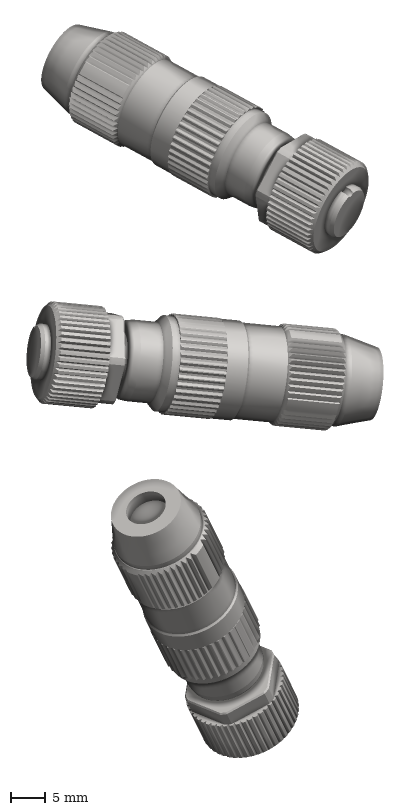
import cadquery as cq
import math

TOTAL_LENGTH = 51.5

KNURL_DIAMETER = 15.0

NOSE_TIP_RADIUS = 5.35
NOSE_RADIUS = 6.75
NOSE_CONE_END = 5.15
CABLE_BORE_RADIUS = 3.05
CABLE_BORE_DEPTH = 2.1
CABLE_NUT_START = 6.0
CABLE_NUT_END = 15.0
CABLE_NUT_RADIUS = KNURL_DIAMETER / 2
CABLE_NUT_CHAMFER = 0.6

SHELL_RADIUS = 7.05
COLLAR_START = 20.8
COLLAR_RADIUS = 7.3
GRIP_START = 24.2
GRIP_END = 31.25
GRIP_RADIUS = 7.4
SHOULDER_END = 32.45
BARREL_START = 33.55
BARREL_RADIUS = 5.95
BARREL_TAPER_START = 37.0
BARREL_TAPER_END = 37.95
BARREL_TIP_RADIUS = 5.8
BARREL_END = 38.45
BARREL_ROUNDING = 0.5
NECK_RADIUS = 4.2

HEX_START = 39.45
HEX_WIDTH = 13.0
HEX_CORNER_RADIUS = 7.2
HEX_CORNER_ANGLE = 37.5
HEX_CHAMFER = 0.2
COUPLING_START = 41.95
COUPLING_END = 50.05
COUPLING_RADIUS = KNURL_DIAMETER / 2
COUPLING_CHAMFER = 0.6

INSERT_RADIUS = 4.1
INSERT_TIP_RADIUS = 3.8
INSERT_TAPER_LENGTH = 0.55
KEYWAY_RADIUS = 0.6
KEYWAY_ANGLE = 82.5

CABLE_NUT_GROOVES = 48
CABLE_NUT_WALL_SLOPE = 48.0
CABLE_NUT_PULL_ANGLE = 35.0
GRIP_GROOVES = 40
GRIP_GROOVE_SPAN = 7.8
GRIP_WALL_SLOPE = 40.0
GRIP_PULL_ANGLE = 127.5
GRIP_GROOVE_DEPTH = 0.3
COUPLING_GROOVES = 48
COUPLING_GROOVE_SPAN = 3.9
COUPLING_GROOVE_DEPTH = 0.4

QUARTER_TURN = 90.0
FULL_TURN = 360.0
COINCIDENT = 0.005


def polar(radius, angle):
    """Point of the YZ plane at a radius and an angle in degrees."""
    turn = math.radians(angle)
    return (radius * math.cos(turn), radius * math.sin(turn))


def groove_angles(count, start):
    """Evenly spaced groove centres, the first one half a pitch after the start angle."""
    pitch = FULL_TURN / count
    return [start + (i + 0.5) * pitch for i in range(count)]


def moulded_wall_angle(wall_angle, groove_angle, pull_angle):
    """Turn a wall's normal so that the wall does not undercut the mould half it lies in."""
    half_turn = FULL_TURN / 2
    pull = pull_angle + half_turn * round((groove_angle - pull_angle) / half_turn)
    return max(pull - QUARTER_TURN, min(pull + QUARTER_TURN, wall_angle))


def wall_crossing(start, start_normal, end, end_normal):
    """Point where the wall through start meets the wall through end."""
    ax, ay = polar(1.0, start_normal)
    bx, by = polar(1.0, end_normal)
    a = ax * start[0] + ay * start[1]
    b = bx * end[0] + by * end[1]
    determinant = ax * by - ay * bx
    return ((a * by - b * ay) / determinant, (ax * b - bx * a) / determinant)


def moulded_groove(radius, angle, span, slope, pull_angle, depth=None):
    """Groove outline from edge to edge; a depth cuts the V off with a flat floor."""
    start = polar(radius, angle - span / 2)
    end = polar(radius, angle + span / 2)
    start_normal = moulded_wall_angle(angle + slope, angle, pull_angle)
    end_normal = moulded_wall_angle(angle - slope, angle, pull_angle)
    root = wall_crossing(start, start_normal, end, end_normal)
    floor = [root]
    if depth is not None:
        floor_point = polar(radius - depth, angle)
        out_y, out_z = polar(1.0, angle)
        if root[0] * out_y + root[1] * out_z < radius - depth:
            floor = [
                wall_crossing(start, start_normal, floor_point, angle),
                wall_crossing(floor_point, angle, end, end_normal),
            ]
    return [start] + floor + [end]


def v_groove(radius, angle, span, depth):
    """Outline of a plain V groove from edge to edge."""
    return [
        polar(radius, angle - span / 2),
        polar(radius - depth, angle),
        polar(radius, angle + span / 2),
    ]


def knurled_bar(radius, start, end, grooves):
    """Bar along X whose outline joins the grooves by arcs at the outer radius."""
    outline = cq.Workplane("YZ", origin=(start, 0, 0)).moveTo(*grooves[0][0])
    for groove, following in zip(grooves, grooves[1:] + grooves[:1]):
        for point in groove[1:]:
            outline = outline.lineTo(*point)
        last, first = groove[-1], following[0]
        if math.dist(last, first) > COINCIDENT:
            middle_angle = math.degrees(math.atan2(last[1] + first[1], last[0] + first[0]))
            outline = outline.threePointArc(polar(radius, middle_angle), first)
    return outline.close().extrude(end - start)


def turned(points):
    """Solid of revolution about X from (x, radius) points, closed along the axis."""
    profile = [(points[0][0], 0)] + points + [(points[-1][0], 0)]
    return cq.Workplane("XY").polyline(profile).close().revolve(FULL_TURN, (0, 0, 0), (1, 0, 0))


def core():
    """Smooth turned body that carries the knurled rings and the hexagon."""
    outline = (
        cq.Workplane("XY")
        .lineTo(0, NOSE_TIP_RADIUS)
        .lineTo(NOSE_CONE_END, NOSE_RADIUS)
        .lineTo(CABLE_NUT_END, NOSE_RADIUS)
        .lineTo(CABLE_NUT_END, SHELL_RADIUS)
        .lineTo(COLLAR_START, SHELL_RADIUS)
        .lineTo(COLLAR_START + COLLAR_RADIUS - SHELL_RADIUS, COLLAR_RADIUS)
        .lineTo(GRIP_START, COLLAR_RADIUS)
        .lineTo(GRIP_START, SHELL_RADIUS)
        .lineTo(SHOULDER_END, SHELL_RADIUS)
        .lineTo(BARREL_START, BARREL_RADIUS)
        .lineTo(BARREL_TAPER_START, BARREL_RADIUS)
        .lineTo(BARREL_TAPER_END, BARREL_TIP_RADIUS)
        .tangentArcPoint((BARREL_END, BARREL_TIP_RADIUS - BARREL_ROUNDING), relative=False)
        .lineTo(BARREL_END, NECK_RADIUS)
        .lineTo(HEX_START, NECK_RADIUS)
        .lineTo(HEX_START, INSERT_RADIUS)
        .lineTo(TOTAL_LENGTH - INSERT_TAPER_LENGTH, INSERT_RADIUS)
        .lineTo(TOTAL_LENGTH, INSERT_TIP_RADIUS)
        .lineTo(TOTAL_LENGTH, 0)
        .close()
    )
    return outline.revolve(FULL_TURN, (0, 0, 0), (1, 0, 0))


def cable_nut_ring():
    """Knurled ring chamfered at both ends, left smooth on four patches a quarter turn apart."""
    pitch = FULL_TURN / CABLE_NUT_GROOVES
    per_quarter = CABLE_NUT_GROOVES // 4
    grooves = [
        moulded_groove(CABLE_NUT_RADIUS, angle, pitch, CABLE_NUT_WALL_SLOPE, CABLE_NUT_PULL_ANGLE)
        for i, angle in enumerate(groove_angles(CABLE_NUT_GROOVES, CABLE_NUT_PULL_ANGLE))
        if i % per_quarter not in (0, per_quarter - 1)
    ]
    ring = knurled_bar(CABLE_NUT_RADIUS, CABLE_NUT_START, CABLE_NUT_END, grooves)
    end_radius = CABLE_NUT_RADIUS - CABLE_NUT_CHAMFER
    envelope = turned([
        (CABLE_NUT_START, end_radius),
        (CABLE_NUT_START + CABLE_NUT_CHAMFER, CABLE_NUT_RADIUS),
        (CABLE_NUT_END - CABLE_NUT_CHAMFER, CABLE_NUT_RADIUS),
        (CABLE_NUT_END, end_radius),
    ])
    return ring.intersect(envelope)


def grip_ring():
    """Finely knurled ring on the shell, with flat-floored grooves all round."""
    grooves = [
        moulded_groove(
            GRIP_RADIUS, angle, GRIP_GROOVE_SPAN, GRIP_WALL_SLOPE, GRIP_PULL_ANGLE, GRIP_GROOVE_DEPTH
        )
        for angle in groove_angles(GRIP_GROOVES, GRIP_PULL_ANGLE)
    ]
    return knurled_bar(GRIP_RADIUS, GRIP_START, GRIP_END, grooves)


def coupling_ring():
    """Knurled coupling nut with V grooves, chamfered at the mating end."""
    half_pitch = FULL_TURN / COUPLING_GROOVES / 2
    grooves = [
        v_groove(COUPLING_RADIUS, angle, COUPLING_GROOVE_SPAN, COUPLING_GROOVE_DEPTH)
        for angle in groove_angles(COUPLING_GROOVES, half_pitch)
    ]
    ring = knurled_bar(COUPLING_RADIUS, COUPLING_START, COUPLING_END, grooves)
    envelope = turned([
        (COUPLING_START, COUPLING_RADIUS),
        (COUPLING_END - COUPLING_CHAMFER, COUPLING_RADIUS),
        (COUPLING_END, COUPLING_RADIUS - COUPLING_CHAMFER),
    ])
    return ring.intersect(envelope)


def hexagon():
    """Spanner hexagon with corners turned round and a chamfered rear edge."""
    across_corners = HEX_WIDTH / math.cos(math.radians(30))
    length = COUPLING_START - HEX_START
    plane = cq.Workplane("YZ", origin=(HEX_START, 0, 0))
    prism = plane.polygon(6, across_corners).extrude(length)
    prism = prism.rotate((0, 0, 0), (1, 0, 0), HEX_CORNER_ANGLE)
    rounded = prism.intersect(plane.circle(HEX_CORNER_RADIUS).extrude(length))
    return rounded.faces("<X").chamfer(HEX_CHAMFER)


def cable_bore():
    return cq.Workplane("YZ").circle(CABLE_BORE_RADIUS).extrude(CABLE_BORE_DEPTH)


def keyway():
    """Round-bottomed key groove along the rim of the mating end."""
    plane = cq.Workplane("YZ", origin=(COUPLING_END, 0, 0))
    centre = polar(INSERT_RADIUS, KEYWAY_ANGLE)
    return plane.center(*centre).circle(KEYWAY_RADIUS).extrude(TOTAL_LENGTH - COUPLING_END)


result = core()
for ring in (cable_nut_ring(), grip_ring(), hexagon(), coupling_ring()):
    result = result.union(ring)
result = result.cut(cable_bore()).cut(keyway())